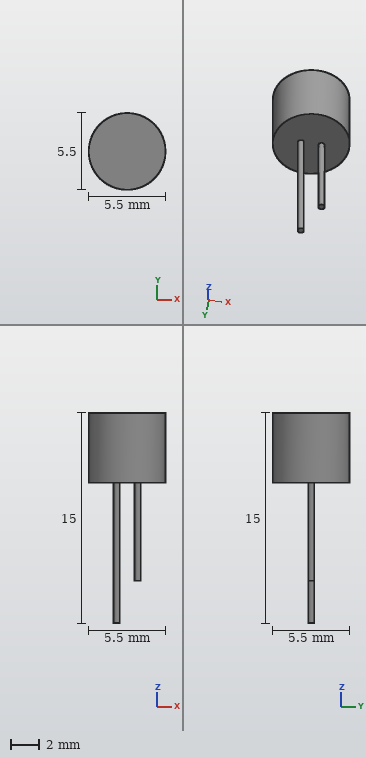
import cadquery as cq

housing_diameter = 5.5
housing_height = 5.0

lead_diameter = 0.45
lead_pitch = 1.5
long_lead_length = 10.0
short_lead_length = 7.0


def make_housing():
    """Plain cylinder centred on the Z axis."""
    return cq.Workplane("XY").circle(housing_diameter / 2).extrude(housing_height)


def make_lead(x, length):
    """Straight lead that starts at the bottom face and runs down along -Z."""
    return cq.Workplane("XY").center(x, 0).circle(lead_diameter / 2).extrude(-length)


housing = make_housing()

lead_layout = [
    (-lead_pitch / 2, long_lead_length),
    (lead_pitch / 2, short_lead_length),
]
leads = [make_lead(x, length).val() for x, length in lead_layout]

result = cq.Compound.makeCompound([housing.val(), *leads])